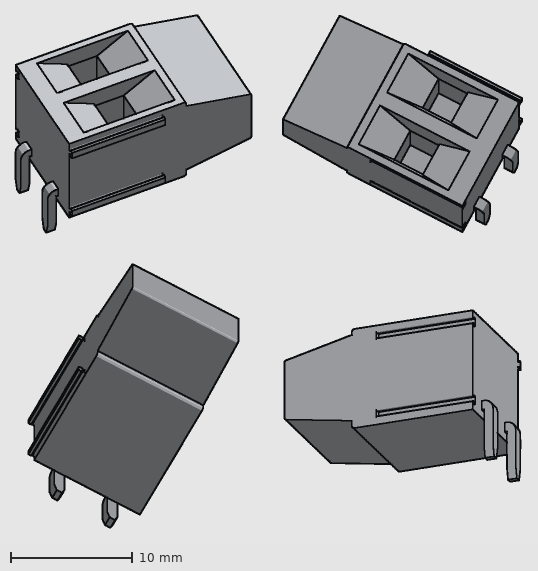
import cadquery as cq
import math


ARC_MIDDLE = math.sqrt(0.5)

PITCH = 5.0
POLES = 2
WIDTH = PITCH * POLES
LEFT = -WIDTH / 2
RIGHT = WIDTH / 2
HEIGHT = 8.9
LENGTH = 16.8
SHOULDER_Y = 10.8
UPPER_STEP = 0.5
LOWER_STEP = 0.7
UPPER_SLOPE = 13.0
LOWER_SLOPE = 10.0
SHOULDER_RADIUS = 0.3
TAIL_RADIUS = 0.2

FUNNEL_WIDTH = 3.75
FUNNEL_FRONT = 1.65
FUNNEL_BACK = 10.03
FUNNEL_DEPTH = 1.15
FRONT_WALL_DEPTH = 0.95
WELL_WIDTH = 2.8
WELL_FRONT = 4.25
WELL_BACK = 6.95
WELL_DEPTH = 6.0

RAIL_HEIGHTS = (1.0, 8.0)
RAIL_LENGTH = 8.6
RAIL_REACH = 0.55
NECK_HALF = 0.21
NECK_LENGTH = 0.18
ROOT_RADIUS = 0.12
HEAD_HALF = 0.39
HEAD_START = 0.29
HEAD_DROP = 0.06
ROOT_OVERLAP = 0.1

PIN_WIDTH = 1.0
PIN_THICKNESS = 0.8
PIN_REACH = 1.0
PIN_TOP = 1.55
PIN_BOTTOM = -3.5
PIN_TIP_WIDTH = 0.5
PIN_TIP_LENGTH = 1.0
PIN_ROOT = 0.5

POLE_CENTRES = [LEFT + PITCH * (pole + 0.5) for pole in range(POLES)]


def make_housing():
    """Side profile with a stepped, tapering tail, extruded across the width."""
    tail_length = LENGTH - SHOULDER_Y
    upper_shoulder = HEIGHT - UPPER_STEP
    upper_tail = upper_shoulder - tail_length * math.tan(math.radians(UPPER_SLOPE))
    lower_tail = LOWER_STEP + tail_length * math.tan(math.radians(LOWER_SLOPE))
    profile = [
        (0, 0),
        (SHOULDER_Y, 0),
        (SHOULDER_Y, LOWER_STEP),
        (LENGTH, lower_tail),
        (LENGTH, upper_tail),
        (SHOULDER_Y, upper_shoulder),
        (SHOULDER_Y, HEIGHT),
        (0, HEIGHT),
    ]
    housing = cq.Workplane("YZ", origin=(LEFT, 0, 0)).polyline(profile).close().extrude(WIDTH)
    housing = housing.edges("|X and >Y").fillet(TAIL_RADIUS)
    for level in (0, HEIGHT):
        shoulder_edge = cq.selectors.NearestToPointSelector((0, SHOULDER_Y, level))
        housing = housing.edges(shoulder_edge).fillet(SHOULDER_RADIUS)
    return housing


def make_funnel(centre_x):
    """Four-sided funnel whose front wall turns vertical before the others end, with the well below it."""
    floor_z = HEIGHT - FUNNEL_DEPTH
    sides = (
        cq.Workplane("XZ", origin=(centre_x, FUNNEL_FRONT, 0))
        .polyline([
            (-FUNNEL_WIDTH / 2, HEIGHT),
            (FUNNEL_WIDTH / 2, HEIGHT),
            (WELL_WIDTH / 2, floor_z),
            (-WELL_WIDTH / 2, floor_z),
        ])
        .close()
        .extrude(FUNNEL_FRONT - FUNNEL_BACK)
    )
    ends = (
        cq.Workplane("YZ", origin=(centre_x - FUNNEL_WIDTH / 2, 0, 0))
        .polyline([
            (FUNNEL_FRONT, HEIGHT),
            (WELL_FRONT, HEIGHT - FRONT_WALL_DEPTH),
            (WELL_FRONT, floor_z),
            (WELL_BACK, floor_z),
            (FUNNEL_BACK, HEIGHT),
        ])
        .close()
        .extrude(FUNNEL_WIDTH)
    )
    well = cq.Workplane("XY").box(
        WELL_WIDTH, WELL_BACK - WELL_FRONT, WELL_DEPTH, centered=(True, False, False)
    )
    well = well.translate((centre_x, WELL_FRONT, HEIGHT - WELL_DEPTH))
    return sides.intersect(ends).union(well)


def make_rail(side_x, centre_z):
    """Flared rail running back from the front face, its neck blended into the side at side_x."""
    root_half = NECK_HALF + ROOT_RADIUS
    blend = ROOT_RADIUS * (1 - ARC_MIDDLE)
    crown_x = (HEAD_START + RAIL_REACH) / 2
    tip_half = HEAD_HALF - HEAD_DROP
    return (
        cq.Workplane("XZ", origin=(side_x, 0, centre_z))
        .moveTo(0, -root_half)
        .threePointArc((blend, -NECK_HALF - blend), (ROOT_RADIUS, -NECK_HALF))
        .lineTo(NECK_LENGTH, -NECK_HALF)
        .lineTo(HEAD_START, -HEAD_HALF)
        .threePointArc((crown_x, -HEAD_HALF), (RAIL_REACH, -tip_half))
        .lineTo(RAIL_REACH, tip_half)
        .threePointArc((crown_x, HEAD_HALF), (HEAD_START, HEAD_HALF))
        .lineTo(NECK_LENGTH, NECK_HALF)
        .lineTo(ROOT_RADIUS, NECK_HALF)
        .threePointArc((blend, NECK_HALF + blend), (0, root_half))
        .lineTo(-ROOT_OVERLAP, root_half)
        .lineTo(-ROOT_OVERLAP, -root_half)
        .close()
        .extrude(-RAIL_LENGTH)
    )


def make_pin(centre_x):
    """Flat pin leaving the front face, bent downward and tapered to its tip."""
    inner_y = PIN_THICKNESS - PIN_REACH
    bend_z = PIN_TOP - PIN_THICKNESS
    bend_reach = PIN_THICKNESS * ARC_MIDDLE
    side = (
        cq.Workplane("YZ", origin=(centre_x - PIN_WIDTH / 2, 0, 0))
        .moveTo(PIN_ROOT, PIN_TOP)
        .lineTo(inner_y, PIN_TOP)
        .threePointArc((inner_y - bend_reach, bend_z + bend_reach), (-PIN_REACH, bend_z))
        .lineTo(-PIN_REACH, PIN_BOTTOM)
        .lineTo(inner_y, PIN_BOTTOM)
        .lineTo(inner_y, bend_z)
        .lineTo(PIN_ROOT, bend_z)
        .close()
        .extrude(PIN_WIDTH)
    )
    taper_z = PIN_BOTTOM + PIN_TIP_LENGTH
    outline = (
        cq.Workplane("XZ", origin=(centre_x, PIN_ROOT, 0))
        .polyline([
            (-PIN_WIDTH / 2, PIN_TOP),
            (PIN_WIDTH / 2, PIN_TOP),
            (PIN_WIDTH / 2, taper_z),
            (PIN_TIP_WIDTH / 2, PIN_BOTTOM),
            (-PIN_TIP_WIDTH / 2, PIN_BOTTOM),
            (-PIN_WIDTH / 2, taper_z),
        ])
        .close()
        .extrude(PIN_ROOT + PIN_REACH)
    )
    return side.intersect(outline)


result = make_housing()
for pole_x in POLE_CENTRES:
    result = result.cut(make_funnel(pole_x))
    result = result.union(make_pin(pole_x))
for rail_z in RAIL_HEIGHTS:
    result = result.cut(make_rail(LEFT, rail_z))
    result = result.union(make_rail(RIGHT, rail_z))